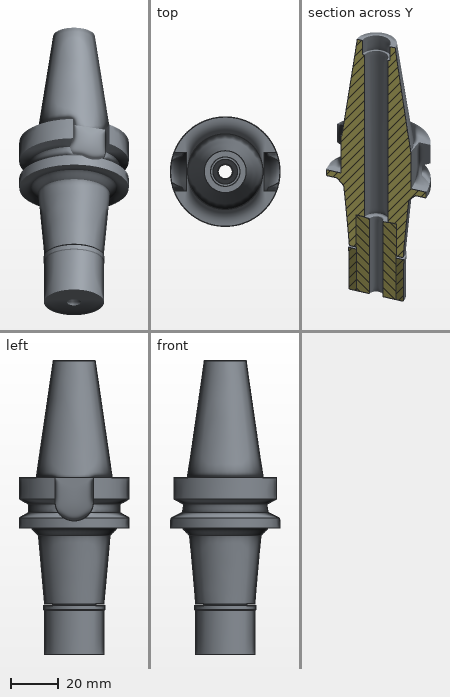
import cadquery as cq
import math

total_length = 123.4

taper_length = 48.4
gauge_diameter = 31.7
gauge_radius = gauge_diameter / 2
taper_rate = 7 / 24
taper_end_radius = gauge_radius - taper_length * taper_rate / 2
gauge_z = total_length - taper_length

flange_diameter = 46.0
flange_radius = flange_diameter / 2
flange_top_z = 74.3
flange_bottom_z = 53.1
groove_floor_radius = 19.3
groove_floor_top_z = 63.2
groove_floor_bottom_z = 59.6
groove_wall_angle = 30.0
groove_wall_rise = (flange_radius - groove_floor_radius) * math.tan(math.radians(groove_wall_angle))

slot_width = 16.2
slot_floor_x = 16.2
slot_bottom_z = 56.1

shoulder_radius = 18.0
nose_top_radius = 15.0
nose_top_z = flange_bottom_z - (shoulder_radius - nose_top_radius)
nose_bottom_radius = 12.5
nose_bottom_z = 21.3

mouth_radius = 6.2
mouth_depth = 6.9
through_radius = 5.2

collet_radius = 9.1
collet_length = 37.0
collet_bore_radius = 3.0
collet_bore_chamfer = 0.2

nut_radius = 12.6
nut_gap = 0.7
nut_height = nose_bottom_z - nut_gap
collar_radius = 12.8
collar_height = 2.1
collar_chamfer_rise = 0.4


def turned(profile):
    """Solid of revolution about Z from a closed list of (radius, height) points."""
    return cq.Workplane("YZ").polyline(profile).close().revolve(360, (0, 0), (0, 1))


def cylinder(radius, bottom_z, top_z):
    """Cylinder about Z between two heights."""
    return cq.Workplane("XY").workplane(offset=bottom_z).circle(radius).extrude(top_z - bottom_z)


def drive_slot(side):
    """Cutter for one round-bottomed drive slot; side is +1 for +X and -1 for -X."""
    half_width = slot_width / 2
    arc_centre_z = slot_bottom_z + half_width
    return (
        cq.Workplane("YZ", origin=(side * slot_floor_x, 0, 0))
        .moveTo(-half_width, flange_top_z)
        .lineTo(-half_width, arc_centre_z)
        .threePointArc((0, slot_bottom_z), (half_width, arc_centre_z))
        .lineTo(half_width, flange_top_z)
        .close()
        .extrude(side * flange_radius)
    )


def make_holder():
    """Taper shank, grooved flange and nose, bored for the collet."""
    profile = [
        (0, total_length),
        (taper_end_radius, total_length),
        (gauge_radius, gauge_z),
        (gauge_radius, flange_top_z),
        (flange_radius, flange_top_z),
        (flange_radius, groove_floor_top_z + groove_wall_rise),
        (groove_floor_radius, groove_floor_top_z),
        (groove_floor_radius, groove_floor_bottom_z),
        (flange_radius, groove_floor_bottom_z - groove_wall_rise),
        (flange_radius, flange_bottom_z),
        (shoulder_radius, flange_bottom_z),
        (nose_top_radius, nose_top_z),
        (nose_bottom_radius, nose_bottom_z),
        (0, nose_bottom_z),
    ]
    body = turned(profile)
    for side in (1, -1):
        body = body.cut(drive_slot(side))
    mouth = cylinder(mouth_radius, total_length - mouth_depth, total_length)
    through_hole = cylinder(through_radius, nose_bottom_z, total_length)
    collet_socket = cylinder(collet_radius, nose_bottom_z, collet_length)
    return body.cut(mouth).cut(through_hole).cut(collet_socket)


def make_collet():
    """Sleeve that joins the holder to the nut, its bore chamfered at the top."""
    profile = [
        (collet_bore_radius, 0),
        (collet_radius, 0),
        (collet_radius, collet_length),
        (collet_bore_radius + collet_bore_chamfer, collet_length),
        (collet_bore_radius, collet_length - collet_bore_chamfer),
    ]
    return turned(profile)


def make_nut():
    """Ring around the lower end of the collet, with a collar at its top chamfered underneath."""
    collar_bottom_z = nut_height - collar_height
    profile = [
        (collet_radius, 0),
        (nut_radius, 0),
        (nut_radius, collar_bottom_z),
        (collar_radius, collar_bottom_z + collar_chamfer_rise),
        (collar_radius, nut_height),
        (collet_radius, nut_height),
    ]
    return turned(profile)


holder = make_holder()
collet = make_collet()
nut = make_nut()

result = cq.Compound.makeCompound([holder.val(), collet.val(), nut.val()])